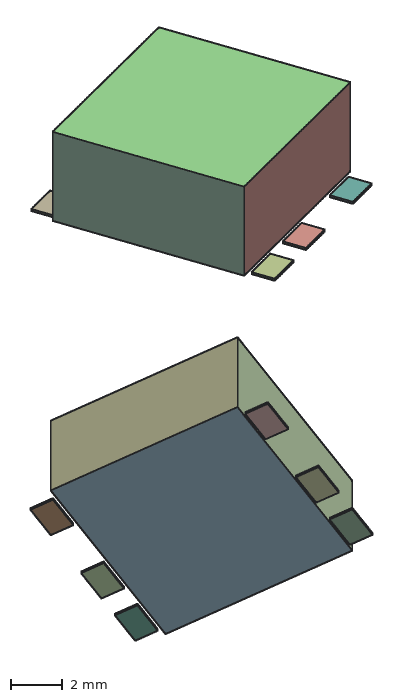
import cadquery as cq

housing_width = 8.40
housing_depth = 8.64
housing_height = 4.06

overall_width = 10.67
pad_width = 1.016
pad_length = 1.53
pad_thickness = 0.10

grid_pitch = 1.27
end_row_span = 5 * grid_pitch
first_row_spacing = 2 * grid_pitch
front_row_y = -end_row_span / 2
pad_rows_y = [front_row_y, front_row_y + first_row_spacing, front_row_y + end_row_span]
pad_column_x = (overall_width - pad_width) / 2


def make_housing():
    return cq.Workplane("XY").box(
        housing_width, housing_depth, housing_height, centered=(True, True, False)
    )


def make_pad(x, y):
    pad = cq.Workplane("XY").box(
        pad_width, pad_length, pad_thickness, centered=(True, True, False)
    )
    return pad.translate((x, y, -pad_thickness))


housing = make_housing()

pads = []
for x in (-pad_column_x, pad_column_x):
    for y in pad_rows_y:
        pads.append(make_pad(x, y))

result = cq.Compound.makeCompound([housing.val(), *[pad.val() for pad in pads]])